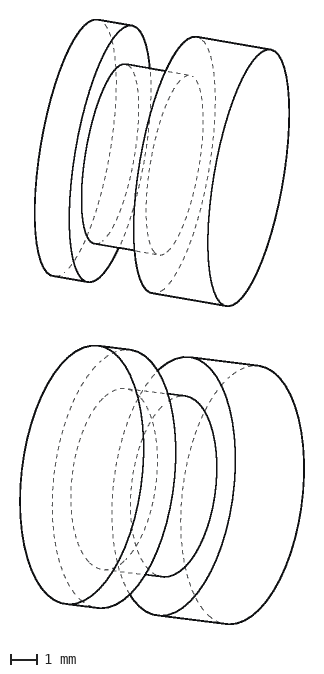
import cadquery as cq

outer_diameter = 10.0
neck_diameter = 7.0
total_length = 7.0
thin_flange_length = 1.4
thick_flange_length = 3.0
neck_length = total_length - thin_flange_length - thick_flange_length


def disc(start_x, length, diameter):
    """Solid cylinder along +X from start_x."""
    return cq.Workplane("YZ", origin=(start_x, 0, 0)).circle(diameter / 2).extrude(length)


thin_flange = disc(0, thin_flange_length, outer_diameter)
neck = disc(thin_flange_length, neck_length, neck_diameter)
thick_flange = disc(total_length - thick_flange_length, thick_flange_length, outer_diameter)

result = thin_flange.union(neck).union(thick_flange)